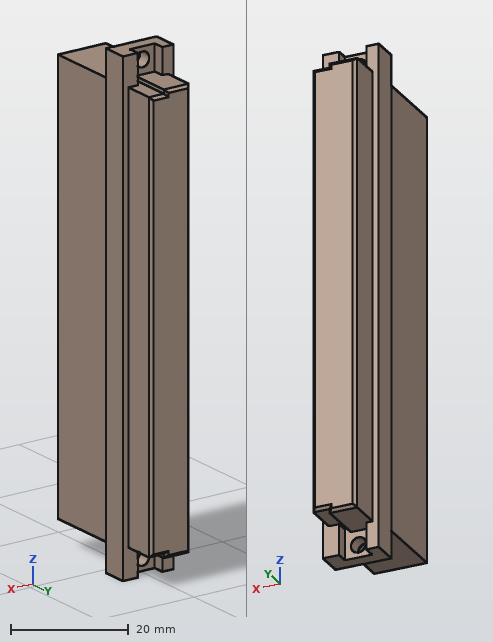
import cadquery as cq

flange_width = 10.5
flange_depth = 5.0
flange_height = 94.8

body_width = 9.95
body_depth = 14.6
body_height = 83.9

plug_width = 8.2
plug_depth = 6.6
plug_height = 84.6
plug_chamfer = 0.6
key_step_x = 1.0
key_step_height = 0.8

fixing_x = -0.4
slot_width = 5.1
slot_depth = 2.3
hole_diameter = 2.8
hole_end_distance = 2.4

flange_back = flange_depth / 2
flange_front = -flange_depth / 2
plug_low_height = plug_height - 2 * key_step_height
hole_z = flange_height / 2 - hole_end_distance


def block(width, depth, height, front_y):
    """Box centred on X and Z, reaching from front_y towards +Y."""
    return cq.Workplane("XY").box(width, depth, height).translate((0, front_y + depth / 2, 0))


def make_plug():
    """Plug with a shortened +X side and a chamfered tip, starting at the slot floor."""
    left = -plug_width / 2
    right = plug_width / 2
    high = plug_height / 2
    low = plug_low_height / 2
    outline = [
        (left, -high),
        (key_step_x, -high),
        (key_step_x, -low),
        (right, -low),
        (right, low),
        (key_step_x, low),
        (key_step_x, high),
        (left, high),
    ]
    plug = (
        cq.Workplane("XZ", origin=(0, flange_back - slot_depth, 0))
        .polyline(outline)
        .close()
        .extrude(-(slot_depth + plug_depth))
    )
    return plug.faces(">Y").chamfer(plug_chamfer)


def cut_slots(flange):
    """Open the back of both flange ends, down to the stepped plug ends."""
    slot = block(slot_width, slot_depth, flange_height, flange_back - slot_depth)
    return flange.cut(slot.translate((fixing_x, 0, 0)))


def cut_holes(flange):
    """Drill the screw hole through each flange end."""
    for z in (-hole_z, hole_z):
        hole = (
            cq.Workplane("XZ", origin=(fixing_x, flange_back, z))
            .circle(hole_diameter / 2)
            .extrude(flange_depth)
        )
        flange = flange.cut(hole)
    return flange


flange = block(flange_width, flange_depth, flange_height, flange_front)
flange = cut_holes(cut_slots(flange))
body = block(body_width, body_depth, body_height, flange_front - body_depth)

result = flange.union(body).union(make_plug())